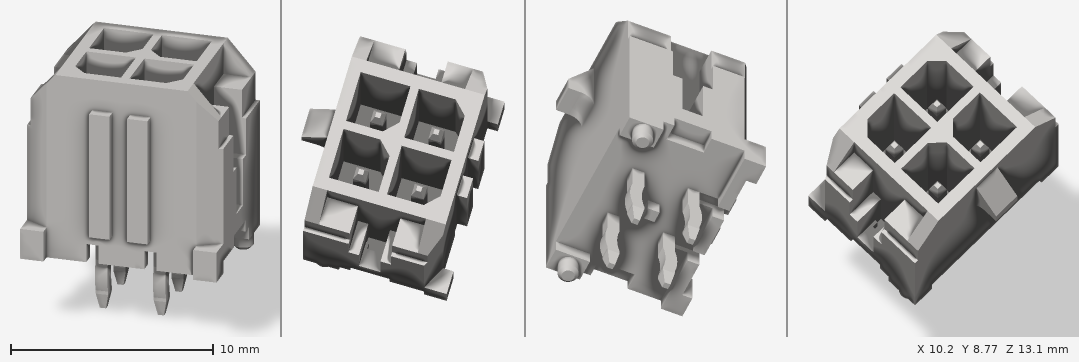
import cadquery as cq


WIDTH = 10.15
DEPTH = 6.86
HEIGHT = 9.91
LEDGE_Z = 6.74
SHOULDER_Z = 8.26
SHOULDER_WIDTH = 9.71
CORE_WIDTH = 6.83
SHELF_FRONT_Y = -2.41
SHELF_BACK_Y = 2.68
FRONT_Y = -DEPTH / 2
BACK_Y = DEPTH / 2
SIDE_X = WIDTH / 2
CORE_X = CORE_WIDTH / 2

BEVEL_X = 1.2
BEVEL_Y = 0.63
FOOT_FRONT_Y = -3.97
FOOT_HEIGHT = 1.61
FOOT_INNER_X = SIDE_X - BEVEL_X

CHANNEL_WIDTH = 2.19
CHANNEL_Z = 4.78
NARROW_CHANNEL_WIDTH = 1.11
NARROW_CHANNEL_Z = 2.28
POCKET_INNER_X = 3.81
POCKET_OUTER_X = 4.14
POCKET_STEM_WIDTH = 0.81
POCKET_FLOOR_Z = 1.61

STANDOFF = 0.67
RECESS_FRONT_Y = FRONT_Y + BEVEL_Y
RECESS_BACK_Y = 1.58
NOTCH_WIDTH = 2.02
NOTCH_TOP_Z = 1.28
PIN_SLOT_TOP_Z = 0.98

PITCH = 3.0
PIN_SIZE = 0.64
PIN_TOP_Z = 7.2
PIN_TIP_HEIGHT = 0.65
PIN_TIP_SIZE = 0.26
CAVITY_SIZE = 2.57
CAVITY_CHAMFER = 0.67
CAVITY_FLOOR_Z = NARROW_CHANNEL_Z

TAIL_END_Z = -3.18
TAIL_TAPER_Z = -2.37
TAIL_END_SIZE = 0.31
KINK_TOP_Z = -0.54
KINK_BOTTOM_Z = -2.19
KINK_OFFSET = 0.13

PEG_X = 4.5
PEG_Y = 2.47
PEG_DIAMETER = 1.05
PEG_LENGTH = 0.86
PEG_CHAMFER = 0.2

RIB_WIDTH = 1.05
RIB_X = 0.98

LATCH_WIDTH = 1.49
LATCH_TIP_Y = 4.8
LATCH_TOP_Z = 9.35
LATCH_TIP_TOP_Z = 7.72
LATCH_BOTTOM_Z = 6.96
LATCH_FILLET = 0.67

SIDES = (-1, 1)
PIN_SIDES = [(side_x, side_y) for side_x in SIDES for side_y in SIDES]


def block(x_range, y_range, z_range):
    """Box spanning the given X, Y and Z ranges."""
    lows, highs = zip(x_range, y_range, z_range)
    sizes = [high - low for low, high in zip(lows, highs)]
    return cq.Workplane("XY").box(*sizes, centered=False).translate(lows)


def both_sides(solid):
    """The solid together with its mirror image across the YZ plane."""
    return solid.union(solid.mirror("YZ"))


def centred(size, middle=0.0):
    """Range of the given size about a middle position."""
    return middle - size / 2, middle + size / 2


def housing_blank():
    half_profile = [
        (0, 0),
        (SIDE_X, 0),
        (SIDE_X, LEDGE_Z),
        (SHOULDER_WIDTH / 2, LEDGE_Z),
        (SHOULDER_WIDTH / 2, SHOULDER_Z),
        (CORE_X, HEIGHT),
        (0, HEIGHT),
    ]
    half = cq.Workplane("XZ").polyline(half_profile).close().extrude(DEPTH / 2, both=True)
    return both_sides(half)


def shoulder_cut():
    """Space above the side blocks, leaving a sloped web at each end."""
    return block((CORE_X, SIDE_X), (SHELF_FRONT_Y, SHELF_BACK_Y), (SHOULDER_Z, HEIGHT))


def channel_cut():
    """Stepped vertical channel down the side wall, with the pocket in its floor."""
    side_wall = (CORE_X, SIDE_X)
    wide = block(side_wall, centred(CHANNEL_WIDTH), (CHANNEL_Z, HEIGHT))
    narrow = block(side_wall, centred(NARROW_CHANNEL_WIDTH), (NARROW_CHANNEL_Z, HEIGHT))
    pocket_z = (POCKET_FLOOR_Z, HEIGHT)
    pocket_bar = block((CORE_X, POCKET_INNER_X), centred(NARROW_CHANNEL_WIDTH), pocket_z)
    pocket_stem = block((CORE_X, POCKET_OUTER_X), centred(POCKET_STEM_WIDTH), pocket_z)
    return wide.union(narrow).union(pocket_bar).union(pocket_stem)


def corner_bevel_cut():
    """Triangular prism that bevels a front corner above the foot."""
    triangle = [(SIDE_X, FRONT_Y), (FOOT_INNER_X, FRONT_Y), (SIDE_X, FRONT_Y + BEVEL_Y)]
    prism = cq.Workplane("XY").polyline(triangle).close().extrude(HEIGHT - FOOT_HEIGHT)
    return prism.translate((0, 0, FOOT_HEIGHT))


def front_foot():
    return block((FOOT_INNER_X, SIDE_X), (FOOT_FRONT_Y, RECESS_FRONT_Y), (0, FOOT_HEIGHT))


def underside_cut():
    """Clearance under the housing between the front lip and the back feet."""
    middle = block(centred(WIDTH), (RECESS_FRONT_Y, RECESS_BACK_Y), (0, STANDOFF))
    between_feet = block(centred(2 * FOOT_INNER_X), (RECESS_BACK_Y, BACK_Y), (0, STANDOFF))
    notch = block((POCKET_OUTER_X, SIDE_X), centred(NOTCH_WIDTH), (0, NOTCH_TOP_Z))
    pin_slot = block(centred(PIN_SIZE, PITCH / 2), (FRONT_Y, -PITCH / 2), (0, PIN_SLOT_TOP_Z))
    return middle.union(between_feet).union(both_sides(notch)).union(both_sides(pin_slot))


def cavity_cut(side_x, side_y):
    """Square cavity with one front corner chamfered as a polarising key."""
    key_x = -side_x * side_y
    half = CAVITY_SIZE / 2
    outline = [
        (-key_x * half, -half),
        (key_x * (half - CAVITY_CHAMFER), -half),
        (key_x * half, -half + CAVITY_CHAMFER),
        (key_x * half, half),
        (-key_x * half, half),
    ]
    cavity = cq.Workplane("XY").polyline(outline).close().extrude(HEIGHT - CAVITY_FLOOR_Z)
    return cavity.translate((side_x * PITCH / 2, side_y * PITCH / 2, CAVITY_FLOOR_Z))


def square_taper(base_z, base_size, end_z, end_size):
    """Four-sided taper between two centred squares."""
    return (
        cq.Workplane("XY", origin=(0, 0, base_z))
        .rect(base_size, base_size)
        .workplane(offset=end_z - base_z)
        .rect(end_size, end_size)
        .loft(ruled=True)
    )


def pin(side_x, side_y):
    """Contact pin with tapered ends and a tail bowed away from the grid centre."""
    half = PIN_SIZE / 2
    taper_base_z = PIN_TOP_Z - PIN_TIP_HEIGHT
    bow = side_y * KINK_OFFSET
    bow_z = (KINK_TOP_Z + KINK_BOTTOM_Z) / 2
    shank = (
        cq.Workplane("YZ")
        .moveTo(-half, taper_base_z)
        .lineTo(-half, KINK_TOP_Z)
        .threePointArc((bow - half, bow_z), (-half, KINK_BOTTOM_Z))
        .lineTo(-half, TAIL_TAPER_Z)
        .lineTo(half, TAIL_TAPER_Z)
        .lineTo(half, KINK_BOTTOM_Z)
        .threePointArc((bow + half, bow_z), (half, KINK_TOP_Z))
        .lineTo(half, taper_base_z)
        .close()
        .extrude(half, both=True)
    )
    tip = square_taper(taper_base_z, PIN_SIZE, PIN_TOP_Z, PIN_TIP_SIZE)
    tail_end = square_taper(TAIL_TAPER_Z, PIN_SIZE, TAIL_END_Z, TAIL_END_SIZE)
    whole = shank.union(tip).union(tail_end)
    return whole.translate((side_x * PITCH / 2, side_y * PITCH / 2, 0))


def peg():
    return (
        cq.Workplane("XY", origin=(PEG_X, PEG_Y, 0))
        .circle(PEG_DIAMETER / 2)
        .extrude(-PEG_LENGTH)
        .faces("<Z")
        .chamfer(PEG_CHAMFER)
    )


def rib():
    return block(centred(RIB_WIDTH, RIB_X), (FOOT_FRONT_Y, FRONT_Y), (FOOT_HEIGHT, SHOULDER_Z))


def latch():
    """Ramp on the back wall with a concave fillet under its catch face."""
    return (
        cq.Workplane("YZ")
        .moveTo(BACK_Y, LATCH_TOP_Z)
        .lineTo(LATCH_TIP_Y, LATCH_TIP_TOP_Z)
        .lineTo(LATCH_TIP_Y, LATCH_BOTTOM_Z)
        .lineTo(BACK_Y + LATCH_FILLET, LATCH_BOTTOM_Z)
        .radiusArc((BACK_Y, LATCH_BOTTOM_Z - LATCH_FILLET), -LATCH_FILLET)
        .close()
        .extrude(LATCH_WIDTH / 2, both=True)
    )


def centre_post():
    return block(centred(PIN_SIZE), centred(PIN_SIZE), (0, STANDOFF))


header = housing_blank()
for side_cut in (shoulder_cut(), channel_cut(), corner_bevel_cut()):
    header = header.cut(both_sides(side_cut))
header = header.cut(underside_cut())
for side_pair in (front_foot(), peg(), rib()):
    header = header.union(both_sides(side_pair))
header = header.union(latch()).union(centre_post())
for sides in PIN_SIDES:
    header = header.cut(cavity_cut(*sides)).union(pin(*sides))

result = header